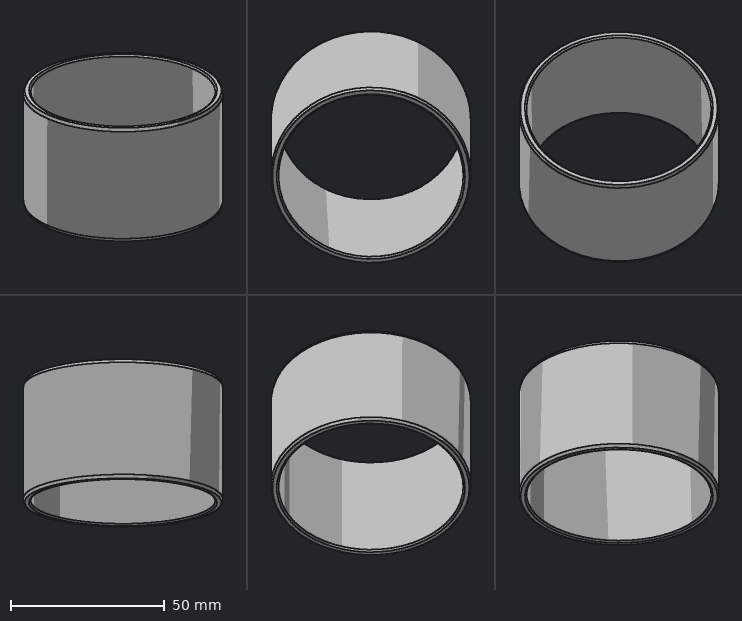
import cadquery as cq

outer_diameter = 65.0
wall_thickness = 2.5
height = 40.0

outer_chamfer_axial = 1.2
outer_chamfer_radial = 0.45

inner_chamfer = 0.6

outer_radius = outer_diameter / 2
bore_radius = outer_radius - wall_thickness
half_height = height / 2

upper_half = [
    (outer_radius, half_height - outer_chamfer_axial),
    (outer_radius - outer_chamfer_radial, half_height),
    (bore_radius + inner_chamfer, half_height),
    (bore_radius, half_height - inner_chamfer),
]
lower_half = [(radius, -z) for radius, z in reversed(upper_half)]

result = (
    cq.Workplane("XZ")
    .polyline(upper_half + lower_half)
    .close()
    .revolve(360, (0, 0, 0), (0, 1, 0))
)